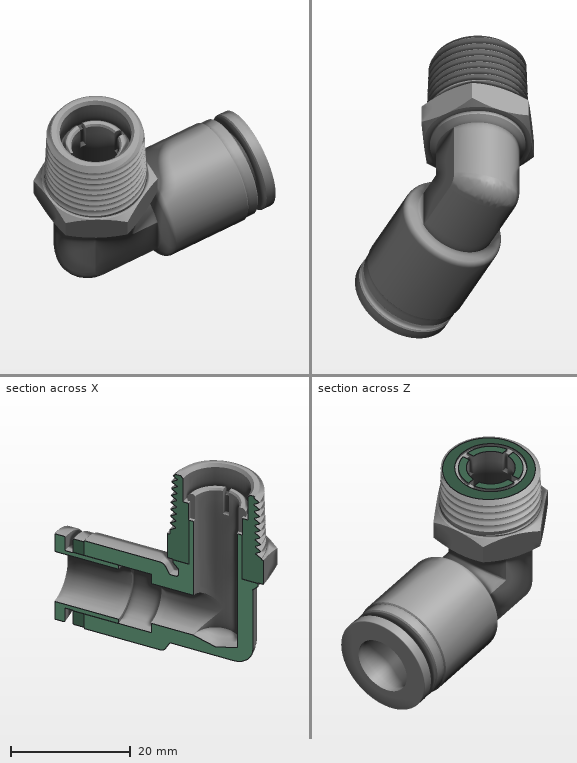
import cadquery as cq
import math


pipe_radius = 7.0
pipe_half_width = 6.0
outer_corner_radius = 3.5
inner_corner_radius = 0.3
passage_radius = 4.05
drill_point_angle = 150.0
passage_floor_z = -passage_radius

barrel_radius = 9.0
barrel_start_y = 8.5
barrel_end_y = 24.55
barrel_rim_chamfer = 0.22
shoulder_cone_angle = 60.0
shoulder_round_radius = 1.2
socket_floor_y = 12.0
side_passage_radius = 4.0

collar_radius = 8.0
collar_cone_z = (8.5, 9.55)
stem_radius = 4.96
barb_radius = 5.45
barb_top_z = 24.13
barb_lead_height = 0.5
barb_height = 1.6
stem_bore_chamfer = 0.3
slot_width = 1.1
slot_depth = 5.0

hex_across_flats = 18.0
hex_bottom_z = 10.2
hex_height = 5.0
hex_chamfer_angle = 30.0
hex_top_z = hex_bottom_z + hex_height
nut_top_z = 27.7
nut_bore_radius = 6.0
nut_bore_chamfer = 0.5

thread_base_radius = 17.145 / 2
thread_taper = 1 / 32
thread_pitch = 25.4 / 18
thread_depth = 1.1
thread_crest_flat = 0.06
groove_overshoot = 0.3
thread_turns = 8.75
runout_start_z = 16.07
runout_direction = -90.0
runout_turns = 0.45
runout_overlap = 0.01
runout_clearance = 0.1
nut_tip_radius = 7.4

button_radius = 8.75
cap_end_y = 26.6
edge_chamfer = 0.22
flange_inner_y = 27.95
flange_end_y = 29.97
flange_rim_round = 0.15
sleeve_radius = 5.9
sleeve_inner_end_y = 18.0
sleeve_bore_radius = 5.05


def cone_height(radius, full_angle):
    """Height of a cone from its base radius and its full point angle."""
    return radius / math.tan(math.radians(full_angle / 2))


def make_pipe():
    """Pipe with flat sides, mitred at the corner, with the corner rounded inside and outside."""
    flat_half_height = math.sqrt(pipe_radius**2 - pipe_half_width**2)
    path = cq.Workplane("YZ").moveTo(barrel_start_y, 0).lineTo(0, 0).lineTo(0, collar_cone_z[0])
    pipe = (
        cq.Workplane("XZ", origin=(0, barrel_start_y, 0))
        .moveTo(-pipe_half_width, flat_half_height)
        .threePointArc((0, pipe_radius), (pipe_half_width, flat_half_height))
        .lineTo(pipe_half_width, -flat_half_height)
        .threePointArc((0, -pipe_radius), (-pipe_half_width, -flat_half_height))
        .close()
        .sweep(path, transition="right")
        .clean()
    )
    pipe = pipe.edges("%ELLIPSE").edges("<Z").fillet(outer_corner_radius)
    return pipe.edges("%ELLIPSE").edges(">Z").fillet(inner_corner_radius)


def make_barrel():
    """Round barrel with a rounded conical shoulder, revolved about the Y axis."""
    slope = math.radians(shoulder_cone_angle)
    round_start_y = (
        barrel_start_y
        + (barrel_radius - shoulder_round_radius * (1 - math.cos(slope)) - pipe_radius) / math.tan(slope)
    )
    round_end_y = round_start_y + shoulder_round_radius * math.sin(slope)

    def on_round(angle):
        return (
            barrel_radius - shoulder_round_radius * (1 - math.cos(angle)),
            round_end_y - shoulder_round_radius * math.sin(angle),
        )

    return (
        cq.Workplane("XY")
        .moveTo(0, barrel_start_y)
        .lineTo(pipe_radius, barrel_start_y)
        .lineTo(*on_round(slope))
        .threePointArc(on_round(slope / 2), (barrel_radius, round_end_y))
        .lineTo(barrel_radius, barrel_end_y - barrel_rim_chamfer)
        .lineTo(barrel_radius - barrel_rim_chamfer, barrel_end_y)
        .lineTo(0, barrel_end_y)
        .close()
        .revolve(360, (0, 0), (0, 1))
    )


def make_stem():
    """Collar and barbed stem, revolved about the Z axis."""
    barb_bottom_z = barb_top_z - barb_height
    cone_bottom_z, cone_top_z = collar_cone_z
    return (
        cq.Workplane("XZ")
        .polyline([
            (0, cone_bottom_z),
            (collar_radius - (cone_top_z - cone_bottom_z), cone_bottom_z),
            (collar_radius, cone_top_z),
            (collar_radius, hex_bottom_z),
            (stem_radius, hex_bottom_z),
            (stem_radius, barb_bottom_z),
            (barb_radius, barb_bottom_z),
            (barb_radius, barb_top_z - barb_lead_height),
            (stem_radius, barb_top_z),
            (0, barb_top_z),
        ])
        .close()
        .revolve(360, (0, 0), (0, 1))
    )


def make_vertical_passage():
    """Drilled passage down the stem, with a chamfered mouth and a conical bottom."""
    return (
        cq.Workplane("XZ")
        .polyline([
            (0, passage_floor_z - cone_height(passage_radius, drill_point_angle)),
            (passage_radius, passage_floor_z),
            (passage_radius, barb_top_z - stem_bore_chamfer),
            (passage_radius + stem_bore_chamfer, barb_top_z),
            (0, barb_top_z),
        ])
        .close()
        .revolve(360, (0, 0), (0, 1))
    )


def make_elbow():
    """Pipe, barrel and slotted stem in one piece, bored through."""
    elbow = make_pipe().union(make_barrel()).union(make_stem())

    tube_socket = cq.Workplane("XZ", origin=(0, socket_floor_y, 0)).circle(sleeve_radius)
    tube_socket = tube_socket.extrude(socket_floor_y - barrel_end_y)
    side_passage = cq.Workplane("XZ").circle(side_passage_radius).extrude(-socket_floor_y)
    elbow = elbow.cut(make_vertical_passage()).cut(tube_socket).cut(side_passage)

    for angle in (0, 90):
        slot = (
            cq.Workplane("XY", origin=(0, 0, barb_top_z - slot_depth))
            .rect(2 * collar_radius, slot_width)
            .extrude(slot_depth)
            .rotate((0, 0, 0), (0, 0, 1), angle)
        )
        elbow = elbow.cut(slot)
    return elbow


def make_hexagon():
    """Hexagon chamfered by a cone above and below."""
    flat_radius = hex_across_flats / 2
    corner_radius = flat_radius / math.cos(math.pi / 6)
    drop = (corner_radius - flat_radius) * math.tan(math.radians(hex_chamfer_angle))
    chamfer_envelope = (
        cq.Workplane("XZ")
        .polyline([
            (0, hex_bottom_z),
            (flat_radius, hex_bottom_z),
            (corner_radius, hex_bottom_z + drop),
            (corner_radius, hex_top_z - drop),
            (flat_radius, hex_top_z),
            (0, hex_top_z),
        ])
        .close()
        .revolve(360, (0, 0), (0, 1))
    )
    return (
        cq.Workplane("XY", origin=(0, 0, hex_bottom_z))
        .polygon(6, 2 * corner_radius)
        .extrude(hex_height)
        .intersect(chamfer_envelope)
    )


def thread_radius(z):
    """Crest radius of the taper thread at height z."""
    return thread_base_radius - (z - hex_top_z) * thread_taper


def make_thread_blank():
    """Tapered shank with a chamfered tip."""
    chamfer_height = thread_radius(nut_top_z) - nut_tip_radius
    chamfer_z = nut_top_z - chamfer_height
    return (
        cq.Workplane("XZ")
        .polyline([
            (0, hex_top_z),
            (thread_radius(hex_top_z), hex_top_z),
            (thread_radius(chamfer_z), chamfer_z),
            (nut_tip_radius, nut_top_z),
            (0, nut_top_z),
        ])
        .close()
        .revolve(360, (0, 0), (0, 1))
    )


def sweep_groove(start_z, turns, widening_angle, start_direction):
    """V groove swept down a right-handed helix.

    The helix lies on a cone that widens downward by widening_angle and starts at the crest
    radius, in the direction start_direction about Z (both in degrees).
    """
    slant_pitch = thread_pitch / math.cos(math.radians(widening_angle))
    helix = cq.Wire.makeHelix(
        slant_pitch,
        turns * slant_pitch,
        thread_radius(start_z),
        cq.Vector(0, 0, start_z),
        cq.Vector(0, 0, -1),
        widening_angle,
    )
    crest_x = helix.startPoint().x
    outward = math.copysign(1, crest_x)
    root_x = crest_x - outward * thread_depth
    outer_x = crest_x + outward * groove_overshoot
    outer_half_width = (thread_pitch - thread_crest_flat) / 2 * (1 + groove_overshoot / thread_depth)
    groove = (
        cq.Workplane("XZ")
        .polyline([
            (root_x, start_z),
            (outer_x, start_z + outer_half_width),
            (outer_x, start_z - outer_half_width),
        ])
        .close()
        .sweep(cq.Workplane(helix), isFrenet=True)
    )
    turn_to_start = start_direction if outward > 0 else start_direction - 180
    return groove.rotate((0, 0, 0), (0, 0, 1), turn_to_start)


def make_thread():
    """Tapered shank with a V groove that climbs out of the surface just above the hexagon."""
    taper_angle = math.degrees(math.atan(thread_taper))
    runout_angle = math.degrees(math.atan((thread_depth + runout_clearance) / (runout_turns * thread_pitch)))
    start_z = runout_start_z + thread_turns * thread_pitch
    start_direction = runout_direction + thread_turns * 360
    groove = sweep_groove(start_z, thread_turns + runout_overlap, taper_angle, start_direction)
    runout = sweep_groove(runout_start_z, runout_turns, runout_angle, runout_direction)
    return make_thread_blank().cut(groove).cut(runout)


def make_nut():
    """Hexagon and threaded shank, with an inner ledge that hooks under the stem barb."""
    bore_floor_z = barb_top_z - barb_height
    bore = (
        cq.Workplane("XZ")
        .polyline([
            (0, hex_bottom_z),
            (stem_radius, hex_bottom_z),
            (stem_radius, bore_floor_z),
            (nut_bore_radius, bore_floor_z),
            (nut_bore_radius, nut_top_z - nut_bore_chamfer),
            (nut_bore_radius + nut_bore_chamfer, nut_top_z),
            (0, nut_top_z),
        ])
        .close()
        .revolve(360, (0, 0), (0, 1))
    )
    return make_hexagon().union(make_thread()).cut(bore)


def make_cap_ring():
    """Flat ring on the barrel rim, with its outer edge chamfered."""
    return (
        cq.Workplane("XZ", origin=(0, barrel_end_y, 0))
        .circle(button_radius)
        .extrude(barrel_end_y - cap_end_y)
        .faces(">Y")
        .chamfer(edge_chamfer)
        .cut(cq.Workplane("XZ").circle(sleeve_radius).extrude(-cap_end_y))
    )


def make_release_sleeve():
    """Sleeve that slides in the barrel, with a push flange at its outer end."""
    flange = (
        cq.Workplane("XZ", origin=(0, flange_inner_y, 0))
        .circle(button_radius)
        .extrude(flange_inner_y - flange_end_y)
        .faces("<Y")
        .chamfer(edge_chamfer)
        .faces(">Y")
        .edges()
        .fillet(flange_rim_round)
    )
    neck = cq.Workplane("XZ", origin=(0, sleeve_inner_end_y, 0)).circle(sleeve_radius)
    neck = neck.extrude(sleeve_inner_end_y - flange_inner_y)
    bore = cq.Workplane("XZ").circle(sleeve_bore_radius).extrude(-flange_end_y)
    return flange.union(neck).cut(bore)


elbow = make_elbow()
nut = make_nut()
cap_ring = make_cap_ring()
release_sleeve = make_release_sleeve()

result = cq.Compound.makeCompound([
    *elbow.solids().vals(),
    *nut.solids().vals(),
    *cap_ring.solids().vals(),
    *release_sleeve.solids().vals(),
])